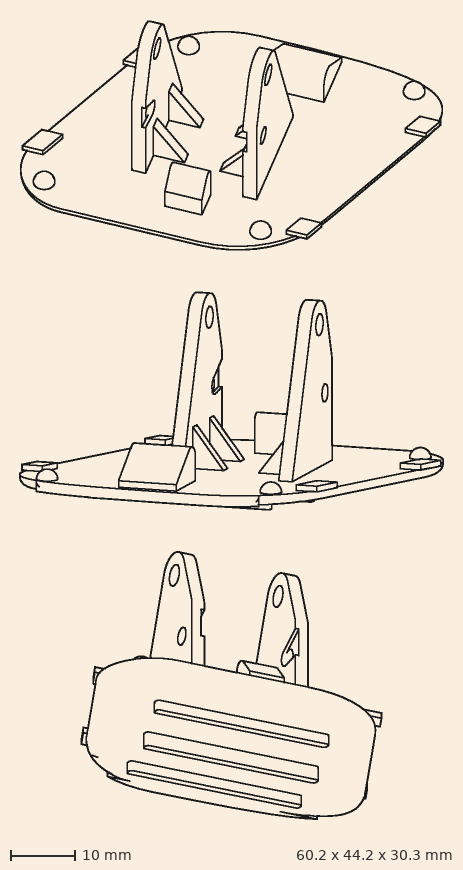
import cadquery as cq
import math


plate_thickness = 1.75
plate_depth = 44.2
plate_half_depth = plate_depth / 2
lean_angle = math.radians(66.5)
front_left_radius = 8.65
front_left_center_x = -18.4
large_corner_radius = 18.8
front_right_center_x = 4.7
back_right_start_y = 9.6
back_right_side_pull = 13.25
back_right_back_pull = 23.05
rim_fillet = 1.5
square_rim_start_y = 19.85

tab_width = 3.35
tab_height = 0.9
left_tab_depth = 4.2
right_tab_depth = 3.1
overall_width = 60.15
left_tip_x = -27.65
right_tip_x = left_tip_x + overall_width
right_tip_corner_x = right_tip_x - tab_width - right_tab_depth / math.tan(lean_angle)
left_tab_corners = [(-18.35, 9.85), (left_tip_x, -12.1)]
right_tab_corners = [(right_tip_corner_x, 9.7), (16.8, -16.4)]

dome_radius = 1.7
dome_sink = 0.1
dome_centers = [(-22.4, -17.45), (12.8, -17.1), (-9.8, 16.55), (26.4, 18.3)]

bracket_inner_x = 7.95
bracket_thickness = 2.2
bracket_back_y = 7.65
bracket_front_y = -10.95
bracket_knee_z = 16.1
bracket_knee_radius = 3.2
bracket_top_radius = 3.6
bracket_top_center = (-4.9, 22.7)
pivot_hole_center = (-5.05, 22.5)
pivot_hole_radius = 1.7
latch_hole_center = (-7.6, 11.25)
latch_hole_radius = 1.4
lead_in_depth = 0.6
lead_in_top_z = 14.85
lead_in_bottom_z = 10.4

rib_length = 5.05
rib_height = 6.55
rib_width = 1.85
rib_center_ys = [1.75, -6.0]

back_block = dict(
    x_range=(4.3, 13.8), steep_y=11.85, low_y=20.75, low_z=1.0, apex_z=7.45, apex_fillet=1.85
)
front_block = dict(
    x_range=(-2.95, 3.05), steep_y=-12.2, low_y=-16.6, low_z=3.35, apex_z=8.1, apex_fillet=1.2
)

keel_length = 30.1
keel_width = 1.45
keel_end_fillet = 0.5
keels = [(-0.9, -9.8, -3.35), (3.35, 2.05, -4.0), (6.3, 13.35, -3.35)]


def on_circle(center, radius, angle):
    return (center[0] + radius * math.cos(angle), center[1] + radius * math.sin(angle))


def tangent_point(point, center, radius, side):
    """Point where the tangent from a point touches a circle; side is +1 or -1."""
    away_angle = math.atan2(point[1] - center[1], point[0] - center[0])
    distance = math.dist(point, center)
    angle = away_angle + side * math.acos(radius / distance)
    return on_circle(center, radius, angle)


def plate_outline():
    front_y = -plate_half_depth
    back_y = plate_half_depth
    lean = (math.cos(lean_angle), math.sin(lean_angle))
    left_normal = lean_angle + math.pi / 2
    right_normal = lean_angle - math.pi / 2
    front_left = (front_left_center_x, front_y + front_left_radius)
    front_right = (front_right_center_x, front_y + large_corner_radius)
    left_run = back_y - large_corner_radius - front_left[1]
    left_offset = (large_corner_radius - front_left_radius) / lean[1]
    back_left_center_x = front_left_center_x + left_run / math.tan(lean_angle) + left_offset
    back_left = (back_left_center_x, back_y - large_corner_radius)

    left_low = on_circle(front_left, front_left_radius, left_normal)
    left_low_mid = on_circle(front_left, front_left_radius, (left_normal + 3 * math.pi / 2) / 2)
    left_high = on_circle(back_left, large_corner_radius, left_normal)
    left_high_mid = on_circle(back_left, large_corner_radius, (left_normal + math.pi / 2) / 2)
    right_low = on_circle(front_right, large_corner_radius, right_normal)
    right_low_mid = on_circle(front_right, large_corner_radius, (right_normal - math.pi / 2) / 2)
    right_rise = back_right_start_y - right_low[1]
    right_high = (right_low[0] + right_rise / math.tan(lean_angle), back_right_start_y)
    right_pull = (
        right_high[0] + back_right_side_pull * lean[0],
        right_high[1] + back_right_side_pull * lean[1],
    )
    back_pull = (back_left_center_x + back_right_back_pull, back_y)

    return (
        cq.Workplane("XY")
        .moveTo(front_left_center_x, front_y)
        .lineTo(front_right_center_x, front_y)
        .threePointArc(right_low_mid, right_low)
        .lineTo(*right_high)
        .bezier([right_high, right_pull, back_pull, (back_left_center_x, back_y)])
        .threePointArc(left_high_mid, left_high)
        .lineTo(*left_low)
        .threePointArc(left_low_mid, (front_left_center_x, front_y))
        .close()
    )


def make_plate():
    """Plate with a rounded lower rim that stays square along the back edge."""
    square_plate = plate_outline().extrude(-plate_thickness)
    rounded_plate = square_plate.faces("<Z").edges().fillet(rim_fillet)
    back_zone_size = 2 * plate_depth
    back_zone = (
        cq.Workplane("XY")
        .box(back_zone_size, back_zone_size, back_zone_size)
        .translate((0, square_rim_start_y + back_zone_size / 2, 0))
    )
    return rounded_plate.union(square_plate.intersect(back_zone))


def make_tab(corner, depth):
    shift = depth / math.tan(lean_angle)
    x, y = corner
    return (
        cq.Workplane("XY")
        .polyline([
            (x, y),
            (x + tab_width, y),
            (x + tab_width + shift, y + depth),
            (x + shift, y + depth),
        ])
        .close()
        .extrude(tab_height)
    )


def make_dome(center):
    """Hemisphere whose flat base is sunk a little into the plate."""
    return cq.Workplane("XY").sphere(dome_radius, angle1=0).translate((*center, -dome_sink))


def make_right_bracket():
    """Bracket on the +X side with its holes, lead-in recess and ribs."""
    base_back = (bracket_back_y, 0)
    knee = (bracket_front_y, bracket_knee_z)
    top_of_arc = (bracket_top_center[0], bracket_top_center[1] + bracket_top_radius)
    back_tangent = tangent_point(base_back, bracket_top_center, bracket_top_radius, 1)
    front_tangent = tangent_point(knee, bracket_top_center, bracket_top_radius, -1)
    bracket = (
        cq.Workplane("YZ", origin=(bracket_inner_x, 0, 0))
        .moveTo(*base_back)
        .lineTo(*back_tangent)
        .threePointArc(top_of_arc, front_tangent)
        .lineTo(*knee)
        .lineTo(bracket_front_y, 0)
        .close()
        .extrude(bracket_thickness)
        .edges(cq.selectors.NearestToPointSelector((bracket_inner_x + bracket_thickness / 2, *knee)))
        .fillet(bracket_knee_radius)
    )

    lead_in_top = (bracket_front_y, lead_in_top_z)
    lead_in_bottom = (bracket_front_y, lead_in_bottom_z)
    lead_in = (
        cq.Workplane("YZ", origin=(bracket_inner_x, 0, 0))
        .polyline([
            lead_in_top,
            tangent_point(lead_in_top, latch_hole_center, latch_hole_radius, -1),
            latch_hole_center,
            tangent_point(lead_in_bottom, latch_hole_center, latch_hole_radius, 1),
            lead_in_bottom,
        ])
        .close()
        .extrude(lead_in_depth)
    )
    bracket = bracket.cut(lead_in)

    holes = [(pivot_hole_center, pivot_hole_radius), (latch_hole_center, latch_hole_radius)]
    for center, radius in holes:
        hole = cq.Workplane("YZ", origin=(bracket_inner_x, 0, 0)).center(*center).circle(radius)
        bracket = bracket.cut(hole.extrude(bracket_thickness))

    for rib_y in rib_center_ys:
        rib = (
            cq.Workplane("XZ", origin=(0, rib_y, 0))
            .polyline([(bracket_inner_x, 0), (bracket_inner_x, rib_height), (bracket_inner_x - rib_length, 0)])
            .close()
            .extrude(rib_width / 2, both=True)
        )
        bracket = bracket.union(rib)
    return bracket


def make_ramp_block(x_range, steep_y, low_y, low_z, apex_z, apex_fillet):
    """Block with a steep wall, a sloping top and a rounded apex between them."""
    x_min, x_max = x_range
    apex = ((x_min + x_max) / 2, steep_y, apex_z)
    return (
        cq.Workplane("YZ", origin=(x_min, 0, 0))
        .polyline([(steep_y, 0), (steep_y, apex_z), (low_y, low_z), (low_y, 0)])
        .close()
        .extrude(x_max - x_min)
        .edges(cq.selectors.NearestToPointSelector(apex))
        .fillet(apex_fillet)
    )


def make_keel(center_x, center_y, bottom_z):
    return (
        cq.Workplane("XY", origin=(center_x, center_y, bottom_z))
        .rect(keel_length, keel_width)
        .extrude(-plate_thickness - bottom_z)
        .edges("|Z")
        .fillet(keel_end_fillet)
    )


result = make_plate()

for tab_corner in left_tab_corners:
    result = result.union(make_tab(tab_corner, left_tab_depth))
for tab_corner in right_tab_corners:
    result = result.union(make_tab(tab_corner, right_tab_depth))

for dome_center in dome_centers:
    result = result.union(make_dome(dome_center))

right_bracket = make_right_bracket()
result = result.union(right_bracket).union(right_bracket.mirror("YZ"))

result = result.union(make_ramp_block(**back_block))
result = result.union(make_ramp_block(**front_block))

for keel in keels:
    result = result.union(make_keel(*keel))